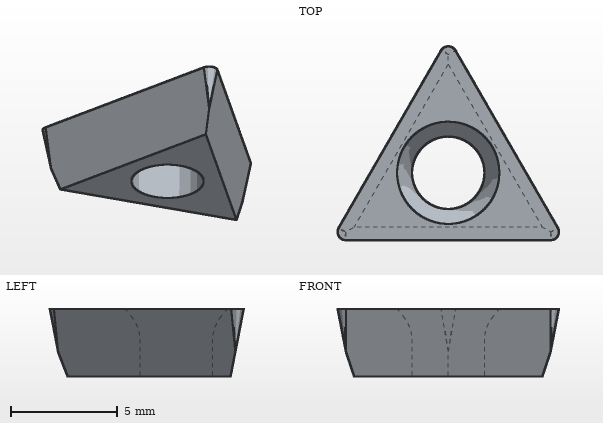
import cadquery as cq
import math

width = 10.41
thickness = 3.18
nose_radius = 0.4
relief_angle = math.radians(11)

bore_radius = 1.7
seat_radius = 2.4
seat_angle = math.radians(40)
throat_radius = 1.77

nose_center_inradius = (width - 2 * nose_radius) / (2 * math.sqrt(3))
nose_depth = nose_radius / math.tan(relief_angle)
tip_height = thickness - nose_depth
bottom_inradius = nose_center_inradius + nose_radius - thickness * math.tan(relief_angle)
nose_directions = [90, 210, 330]
nose_sweep = 120


def polar(radius, degrees):
    angle = math.radians(degrees)
    return cq.Vector(radius * math.cos(angle), radius * math.sin(angle), 0)


def at_height(points, height):
    return [point + cq.Vector(0, 0, height) for point in points]


def triangle(inradius):
    return [polar(2 * inradius, direction) for direction in nose_directions]


def planar_face(points):
    return cq.Face.makeFromWires(cq.Wire.makePolygon(points, close=True))


def solid_from_faces(faces):
    return cq.Workplane(cq.Solid.makeSolid(cq.Shell.makeShell(faces)))


def make_body():
    """Build the sharp lower corners and the conical noses as one closed shell."""
    bottom = triangle(bottom_inradius)
    tips = at_height(triangle(nose_center_inradius), tip_height)
    centers = at_height(triangle(nose_center_inradius), thickness)
    top_edges = []
    faces = [planar_face(bottom)]

    for i, direction in enumerate(nose_directions):
        following = (i + 1) % len(nose_directions)
        start = centers[i] + polar(nose_radius, direction - nose_sweep / 2)
        middle = centers[i] + polar(nose_radius, direction)
        end = centers[i] + polar(nose_radius, direction + nose_sweep / 2)
        next_start = centers[following] + polar(nose_radius, direction + nose_sweep / 2)

        nose_edge = cq.Edge.makeThreePointArc(start, middle, end)
        top_edges += [nose_edge, cq.Edge.makeLine(end, next_start)]

        cone = cq.Solid.makeCone(0, nose_radius, nose_depth, angleDegrees=nose_sweep).faces("%CONE")
        cone = cone.rotate(cq.Vector(), cq.Vector(0, 0, 1), direction - nose_sweep / 2)
        faces.append(cone.translate(tips[i]))

        flank = [bottom[i], bottom[following], tips[following], next_start, end, tips[i]]
        faces.append(planar_face(flank))

    faces.append(cq.Face.makeFromWires(cq.Wire.assembleEdges(top_edges)))
    return solid_from_faces(faces)


def make_hole():
    """Conical screw seat blending through a convex throat into the bore."""
    throat_start_radius = bore_radius + throat_radius * (1 - math.cos(seat_angle))
    throat_start = thickness - (seat_radius - throat_start_radius) / math.tan(seat_angle)
    throat_end = throat_start - throat_radius * math.sin(seat_angle)
    mid_radius = bore_radius + throat_radius * (1 - math.cos(seat_angle / 2))
    mid_height = throat_end + throat_radius * math.sin(seat_angle / 2)
    return (
        cq.Workplane("XZ")
        .lineTo(bore_radius, 0)
        .lineTo(bore_radius, throat_end)
        .threePointArc((mid_radius, mid_height), (throat_start_radius, throat_start))
        .lineTo(seat_radius, thickness)
        .lineTo(0, thickness)
        .close()
        .revolve(360, (0, 0), (0, 1))
    )


result = make_body().cut(make_hole())